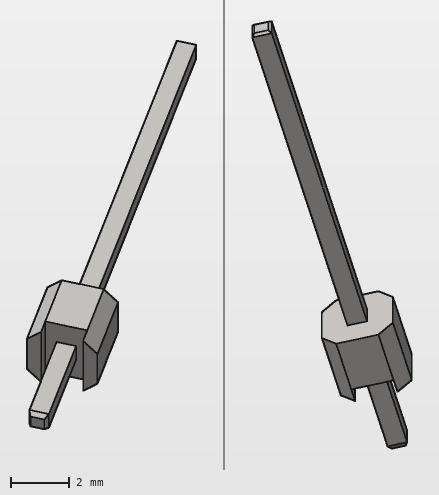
import cadquery as cq

pin_length = 18.39
pin_width = 0.7
front_taper_length = 0.2
front_tip_width = 0.5
rear_taper_length = 0.1
rear_tip_width = 0.5

body_width = 2.54
body_length = 2.54
body_chamfer = 0.51
body_front = 3.02
recess_width = body_width - 2 * body_chamfer
recess_depth = 0.51


def square_bar(width, start, length):
    """Square bar along Y, from start to start + length."""
    return cq.Workplane("XY").box(width, length, width).translate((0, start + length / 2, 0))


def tapered_tip(base_width, tip_width, base_y, tip_y):
    """Square frustum from base_y to tip_y along Y."""
    return (
        cq.Workplane("XZ", origin=(0, base_y, 0))
        .rect(base_width, base_width)
        .workplane(offset=base_y - tip_y)
        .rect(tip_width, tip_width)
        .loft(ruled=True)
    )


def make_pin():
    shaft_length = pin_length - front_taper_length - rear_taper_length
    shaft_end = pin_length - rear_taper_length
    shaft = square_bar(pin_width, front_taper_length, shaft_length)
    front_tip = tapered_tip(pin_width, front_tip_width, front_taper_length, 0)
    rear_tip = tapered_tip(pin_width, rear_tip_width, shaft_end, pin_length)
    return shaft.union(front_tip).union(rear_tip)


def make_body():
    block = square_bar(body_width, body_front, body_length).edges("|Y").chamfer(body_chamfer)
    channel = (
        cq.Workplane("XY")
        .box(recess_width, recess_depth, body_width)
        .translate((0, body_front + recess_depth / 2, 0))
    )
    return block.cut(channel)


result = make_body().union(make_pin()).translate((0, -pin_length / 2, 0))